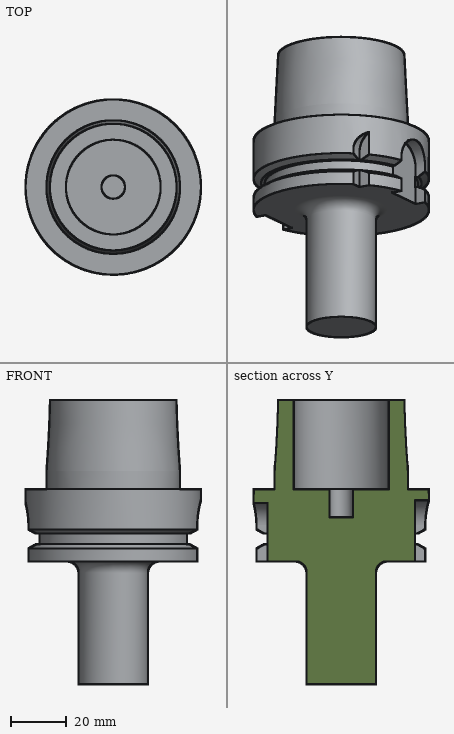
import cadquery as cq
import math


shank_height = 32.0
collar_radius = 24.0
collar_height = 6.5
taper_ratio = 1 / 10
shank_top_radius = collar_radius - (shank_height - collar_height) * taper_ratio / 2
bore_radius = 17.0
bore_depth = shank_height
center_hole_radius = 4.2
center_hole_depth = 10.0

flange_radius = 31.5
flange_thickness = 26.0
groove_radius = 27.5
groove_top = -16.0
groove_bottom = -19.75
groove_bevel_height = 1.55
groove_bevel_angle = 30.0
groove_bevel_width = groove_bevel_height / math.tan(math.radians(groove_bevel_angle))
groove_mouth_radius = flange_radius - groove_bevel_width

stem_radius = 12.5
stem_length = 44.0
stem_fillet = 4.0

slot_arch_center = -13.0
slot_floor = 26.5
minus_x_slot_width = 16.0
plus_x_slot_width = 18.0

notch_floor = 20.0
notch_wall = -20.2
notch_width = 16.0


def make_body():
    """Revolve the half profile of shank, grooved flange and stem."""
    flange_bottom = -flange_thickness
    stem_bottom = flange_bottom - stem_length
    fillet_mid = stem_fillet * (1 - math.sqrt(0.5))
    profile = (
        cq.Workplane("XZ")
        .moveTo(0, shank_height)
        .lineTo(shank_top_radius, shank_height)
        .lineTo(collar_radius, collar_height)
        .lineTo(collar_radius, 0)
        .lineTo(flange_radius, 0)
        .lineTo(flange_radius, groove_top + groove_bevel_height)
        .lineTo(groove_mouth_radius, groove_top)
        .lineTo(groove_radius, groove_top)
        .lineTo(groove_radius, groove_bottom)
        .lineTo(groove_mouth_radius, groove_bottom)
        .lineTo(flange_radius, groove_bottom - groove_bevel_height)
        .lineTo(flange_radius, flange_bottom)
        .lineTo(stem_radius + stem_fillet, flange_bottom)
        .threePointArc(
            (stem_radius + fillet_mid, flange_bottom - fillet_mid),
            (stem_radius, flange_bottom - stem_fillet),
        )
        .lineTo(stem_radius, stem_bottom)
        .lineTo(0, stem_bottom)
        .close()
    )
    body = profile.revolve(360, (0, 0, 0), (0, 1, 0))
    return body.rotate((0, 0, 0), (0, 0, 1), -90)


def make_bore():
    """Stepped blind bore, open at the top of the shank."""
    bore_floor = shank_height - bore_depth
    bore = cq.Workplane("XY").workplane(offset=bore_floor).circle(bore_radius).extrude(bore_depth)
    center_hole = (
        cq.Workplane("XY").workplane(offset=bore_floor).circle(center_hole_radius).extrude(-center_hole_depth)
    )
    return bore.union(center_hole)


def make_arched_cutter(width, floor):
    """Arched slot cutter on the +X side, open outward and through the flange bottom."""
    half_width = width / 2
    return (
        cq.Workplane("YZ")
        .workplane(offset=floor)
        .moveTo(-half_width, -flange_thickness)
        .lineTo(-half_width, slot_arch_center)
        .threePointArc((0, slot_arch_center + half_width), (half_width, slot_arch_center))
        .lineTo(half_width, -flange_thickness)
        .close()
        .extrude(flange_radius)
    )


def make_driving_slots():
    """Two opposite driving slots, the wider one on the +X side."""
    plus_x_slot = make_arched_cutter(plus_x_slot_width, slot_floor)
    minus_x_slot = make_arched_cutter(minus_x_slot_width, slot_floor).rotate((0, 0, 0), (0, 0, 1), 180)
    return plus_x_slot.union(minus_x_slot)


def make_notch():
    """Off-center arched notch, turned to face +Y."""
    cutter = make_arched_cutter(notch_width, notch_floor)
    notch_center = notch_wall - notch_width / 2
    return cutter.rotate((0, 0, 0), (0, 0, 1), 90).translate((notch_center, 0, 0))


result = make_body().cut(make_bore()).cut(make_driving_slots()).cut(make_notch())